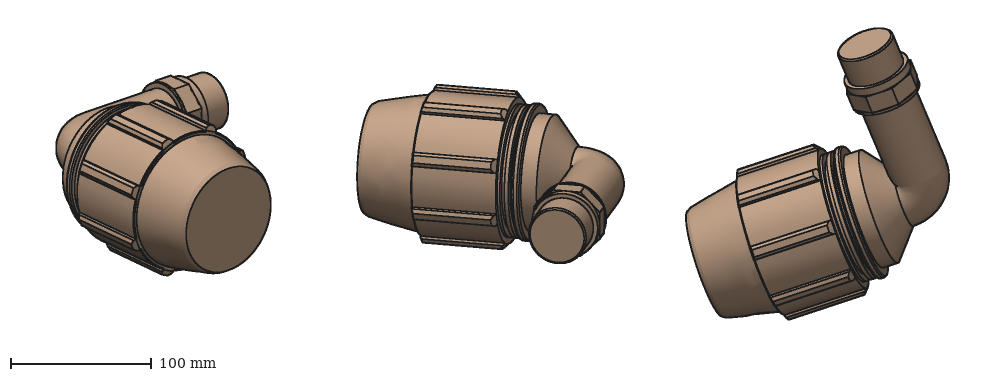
import cadquery as cq
import math


spigot_radius = 42.0 / 2
spigot_end = 126.1
spigot_chamfer = 1.2
flange_radius = 50.2 / 2
flange_start = 81.7
octagon_start = 83.8
octagon_sides = 8
octagon_flats = 48.3
collar_radius = 48.3 / 2
collar_start = 97.5
collar_end = 103.5

bend_radius = 17.4

cone_end = 36.0
body_radius = 84.8 / 2
wide_ring_start = 47.3
wide_ring_end = 52.7
wide_ring_radius = 98.3 / 2
wide_ring_chamfer_length = 1.4
wide_ring_chamfer_depth = 0.8
thin_ring_start = 55.2
thin_ring_end = 58.1
thin_ring_radius = 95.5 / 2
shoulder_start = 61.5

nut_start = 63.4
nut_end = 125.5
nut_radius = 52.3
nut_end_chamfer = 0.8
taper_start_radius = 49.6
taper_end_radius = 41.5
taper_bulge = 0.4
tip_start = 164.8
tip_end = 168
tip_radius = 39.5

rib_count = 8
rib_top_radius = 56.4
rib_top_width = 5.5
rib_width = 10.0
rib_side_radius = 54
rib_base_radius = 50.2
rib_front_slope = 3.5
rib_back_slope = 1.7


def cylinder_along_y(radius, start, end):
    return cq.Workplane("XZ", origin=(0, start, 0)).circle(radius).extrude(start - end)


def make_spigot():
    tube = cylinder_along_y(spigot_radius, bend_radius, spigot_end)
    tube = tube.faces(">Y").chamfer(spigot_chamfer)
    flange = cylinder_along_y(flange_radius, flange_start, octagon_start)
    collar = cylinder_along_y(collar_radius, collar_start, collar_end)
    octagon = (
        cq.Workplane("XZ", origin=(0, octagon_start, 0))
        .polygon(octagon_sides, octagon_flats, circumscribed=True)
        .extrude(octagon_start - collar_start)
    )
    return tube.union(flange).union(octagon).union(collar)


def make_elbow():
    half_chord = math.sqrt(spigot_radius**2 - bend_radius**2)
    return (
        cq.Workplane("XZ", origin=(0, bend_radius, 0))
        .moveTo(bend_radius, -half_chord)
        .threePointArc((-spigot_radius, 0), (bend_radius, half_chord))
        .close()
        .revolve(90, (bend_radius, 0), (bend_radius, 1))
    )


def make_coupling():
    taper_middle = (
        (nut_end + tip_start) / 2,
        (taper_start_radius + taper_end_radius) / 2 + taper_bulge,
    )
    profile = (
        cq.Workplane("XY")
        .moveTo(bend_radius, 0)
        .lineTo(bend_radius, spigot_radius)
        .lineTo(cone_end, body_radius)
        .lineTo(wide_ring_start, body_radius)
        .lineTo(wide_ring_start, wide_ring_radius - wide_ring_chamfer_depth)
        .lineTo(wide_ring_start + wide_ring_chamfer_length, wide_ring_radius)
        .lineTo(wide_ring_end - wide_ring_chamfer_length, wide_ring_radius)
        .lineTo(wide_ring_end, wide_ring_radius - wide_ring_chamfer_depth)
        .lineTo(wide_ring_end, body_radius)
        .lineTo(thin_ring_start, body_radius)
        .lineTo(thin_ring_start, thin_ring_radius)
        .lineTo(thin_ring_end, thin_ring_radius)
        .lineTo(thin_ring_end, body_radius)
        .lineTo(shoulder_start, body_radius)
        .lineTo(shoulder_start, thin_ring_radius)
        .lineTo(nut_start, thin_ring_radius)
        .lineTo(nut_start, nut_radius)
        .lineTo(nut_end - nut_end_chamfer, nut_radius)
        .lineTo(nut_end, nut_radius - nut_end_chamfer)
        .lineTo(nut_end, taper_start_radius)
        .threePointArc(taper_middle, (tip_start, taper_end_radius))
        .lineTo(tip_end, tip_radius)
        .lineTo(tip_end, 0)
        .close()
    )
    return profile.revolve(360, (0, 0), (1, 0))


def make_rib():
    section = [
        (-rib_width / 2, rib_base_radius),
        (-rib_width / 2, rib_side_radius),
        (-rib_top_width / 2, rib_top_radius),
        (rib_top_width / 2, rib_top_radius),
        (rib_width / 2, rib_side_radius),
        (rib_width / 2, rib_base_radius),
    ]
    side = [
        (nut_start, rib_base_radius),
        (nut_start, nut_radius),
        (nut_start + rib_front_slope, rib_top_radius),
        (nut_end - rib_back_slope, rib_top_radius),
        (nut_end, nut_radius),
        (nut_end, rib_base_radius),
    ]
    bar = (
        cq.Workplane("YZ", origin=(nut_start, 0, 0))
        .polyline(section)
        .close()
        .extrude(nut_end - nut_start)
    )
    trim = cq.Workplane("XZ").polyline(side).close().extrude(rib_width, both=True)
    return bar.intersect(trim)


result = make_coupling().union(make_elbow()).union(make_spigot())
rib = make_rib()
rib_pitch = 360 / rib_count
for index in range(rib_count):
    rib_angle = (index + 0.5) * rib_pitch
    result = result.union(rib.rotate((0, 0, 0), (1, 0, 0), rib_angle))